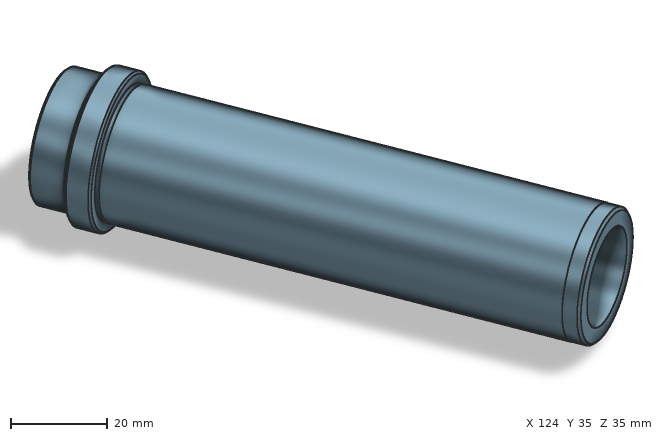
import cadquery as cq

length = 124.0
body_radius = 30.0 / 2
flange_radius = 35.0 / 2
bore_radius = 22.0 / 2

spigot_length = 8.0
flange_start = 9.0
flange_end = 15.0
groove_width = flange_start - spigot_length

tail_length = 4.0
tail_relief = 0.06
tail_start = length - tail_length

groove_depth = 0.4
spigot_chamfer = 0.5
flange_chamfer = 0.5
tail_chamfer = 0.6


def cylinder(start, end, radius):
    """Solid cylinder along X between two distances from the spigot end."""
    return (
        cq.Workplane("YZ", origin=(start - length / 2, 0, 0))
        .circle(radius)
        .extrude(end - start)
    )


def groove(start):
    """Ring with an arc-shaped section that cuts a relief groove around the body."""
    left = start - length / 2
    return (
        cq.Workplane("XY")
        .moveTo(left, body_radius)
        .threePointArc(
            (left + groove_width / 2, body_radius - groove_depth),
            (left + groove_width, body_radius),
        )
        .close()
        .revolve(360, (0, 0, 0), (1, 0, 0))
    )


body = cylinder(0, tail_start, body_radius).faces("<X").chamfer(spigot_chamfer)
flange = cylinder(flange_start, flange_end, flange_radius).edges().chamfer(flange_chamfer)
tail = cylinder(tail_start, length, body_radius - tail_relief).faces(">X").chamfer(tail_chamfer)
bore = cylinder(0, length, bore_radius)

result = body.union(flange).union(tail).cut(bore)

for groove_start in (spigot_length, flange_end):
    result = result.cut(groove(groove_start))